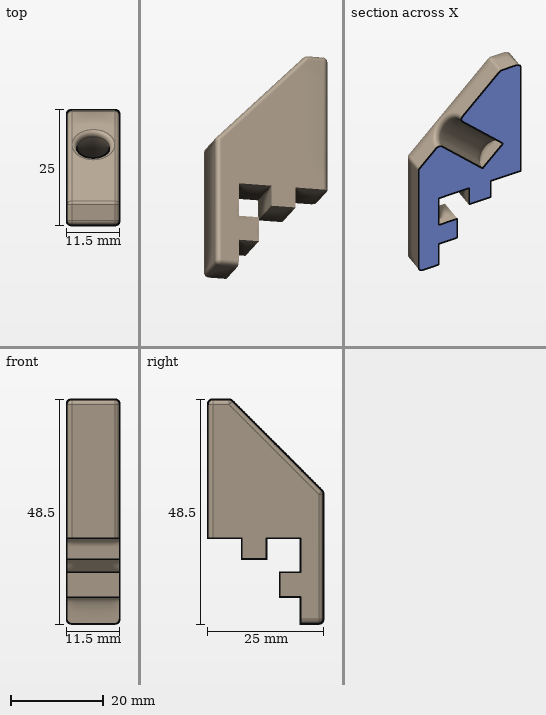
import cadquery as cq
import math

width = 11.5
depth = 25.0
height = 48.5
top_flat = 5.0
leg_thickness = 5.0
cutout_height = 18.5
edge_radius = 1.1

tab_size = 5.4
tab_reach = 4.5
tab_corner_offset = 7.3

hole_diameter = 7.0
mouth_radius = edge_radius
hole_depth = 15.0
hole_setback = 7.5

slope_drop = depth - top_flat
leg_front = depth - leg_thickness
tolerance = 0.01


def make_body():
    outline = [
        (0, cutout_height),
        (0, height),
        (top_flat, height),
        (depth, height - slope_drop),
        (depth, 0),
        (leg_front, 0),
        (leg_front, cutout_height),
    ]
    body = cq.Workplane("YZ").polyline(outline).close().extrude(width / 2, both=True)

    leg_face_edges = cq.selectors.BoxSelector(
        (-width, leg_front - tolerance, -tolerance),
        (width, leg_front + tolerance, cutout_height + tolerance),
    )
    underside_edges = cq.selectors.BoxSelector(
        (-width, -tolerance, cutout_height - tolerance),
        (width, leg_front + tolerance, cutout_height + tolerance),
    )
    return body.edges(-(leg_face_edges + underside_edges)).fillet(edge_radius)


def make_tab(y_min, z_min, y_length, z_length):
    tab = cq.Workplane("XY").box(width, y_length, z_length, centered=(True, False, False))
    return tab.translate((0, y_min, z_min))


def add_tabs(body):
    leg_tab = make_tab(
        leg_front - tab_reach,
        cutout_height - tab_corner_offset - tab_size,
        tab_reach,
        tab_size,
    )
    underside_tab = make_tab(
        leg_front - tab_corner_offset - tab_size,
        cutout_height - tab_reach,
        tab_size,
        tab_reach,
    )
    return body.union(leg_tab).union(underside_tab)


def make_hole_cutter():
    hole_radius = hole_diameter / 2
    rim_radius = hole_radius + mouth_radius
    arc_offset = mouth_radius * math.sqrt(0.5)
    arc_middle = (rim_radius - arc_offset, arc_offset - mouth_radius)
    hole_centre_z = height - slope_drop + hole_setback
    section_plane = cq.Plane(
        origin=(0, depth - hole_setback, hole_centre_z),
        xDir=(1, 0, 0),
        normal=(0, -1, 1),
    )
    return (
        cq.Workplane(section_plane)
        .lineTo(rim_radius, 0)
        .threePointArc(arc_middle, (hole_radius, -mouth_radius))
        .lineTo(hole_radius, -hole_depth)
        .lineTo(0, -hole_depth)
        .close()
        .revolve(360, (0, 0), (0, 1))
    )


result = add_tabs(make_body()).cut(make_hole_cutter())